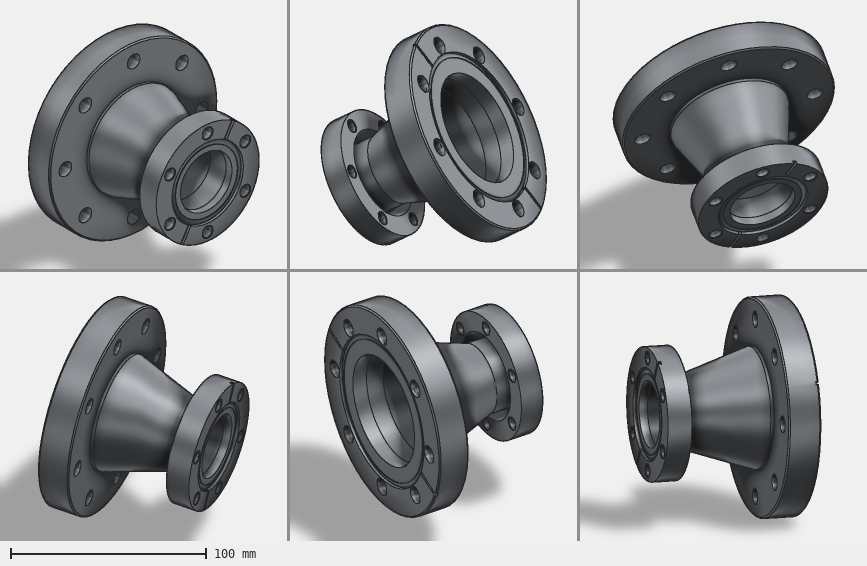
import cadquery as cq
import math

total_length = 75.2

large_radius = 56.8
large_thickness = 17.4
large_rim_chamfer = 0.8
large_bolt_count = 8
large_bolt_circle_radius = 46.1
large_hole_radius = 4.2
large_hole_mouth_radius = 4.7
large_hole_taper_depth = 2.7
large_recess_radius = 41.3
large_knife_radius = 38.6
tube_seat_x = 9.3

small_radius = 34.7
small_thickness = 12.8
small_bolt_count = 6
small_bolt_circle_radius = 29.3
small_hole_radius = 3.3
small_hole_chamfer = 0.3
small_cone_radius = 24.0
small_cone_depth = 5.2
tube_clearance = 0.7
small_recess_radius = 24.1
small_knife_radius = 21.0
insert_thickness = 4.5

knife_tip_depth = 0.7
knife_slope = 20.0
knife_inner_step = 0.5

large_groove_width = 1.5
large_groove_depth = 1.5
small_groove_width = 1.7
small_groove_depth = 1.8
large_groove_angle = 22.5
small_groove_angle = 60.0

large_tube_radius = 31.7
large_bore_radius = 30.2
small_tube_radius = 19.1
small_bore_radius = 17.4
outer_cone_start_x = 19.1
inner_cone_start_x = 19.1
cone_end_x = 57.2

small_back_x = total_length - small_thickness
insert_seat_x = total_length - knife_tip_depth - knife_inner_step - insert_thickness


def knife_root_depth(recess_radius, knife_radius):
    """Depth of the recess floor, where the sloped flank of the knife edge starts."""
    return knife_tip_depth + (recess_radius - knife_radius) * math.tan(math.radians(knife_slope))


def turned(profile):
    """Solid of revolution about the X axis from (x, radius) points."""
    return cq.Workplane("XY").polyline(profile).close().revolve(360, (0, 0, 0), (1, 0, 0))


def bolt_holes(profile, count, circle_radius):
    """Turned hole cutters spaced evenly round the X axis, the first one at +Z."""
    cutter = turned(profile).translate((0, 0, circle_radius))
    cutters = cq.Workplane("XY")
    for i in range(count):
        cutters = cutters.add(cutter.rotate((0, 0, 0), (1, 0, 0), i * 360 / count))
    return cutters.combine()


def leak_grooves(face_x, inner_radius, outer_radius, width, depth, angle):
    """Two opposite radial slots in the face at face_x, angle measured from +Y towards +Z."""
    length = outer_radius - inner_radius
    middle_radius = inner_radius + length / 2
    slots = (
        cq.Workplane("XY")
        .pushPoints([(face_x, middle_radius), (face_x, -middle_radius)])
        .box(2 * depth, length, width)
    )
    return slots.rotate((0, 0, 0), (1, 0, 0), angle)


def make_large_flange():
    chamfer_radius = large_radius - large_rim_chamfer
    sealing_face_x = knife_tip_depth + knife_inner_step
    body = turned([
        (0, large_recess_radius),
        (0, chamfer_radius),
        (large_rim_chamfer, large_radius),
        (large_thickness - large_rim_chamfer, large_radius),
        (large_thickness, chamfer_radius),
        (large_thickness, large_tube_radius),
        (tube_seat_x, large_tube_radius),
        (tube_seat_x, large_bore_radius),
        (sealing_face_x, large_bore_radius),
        (sealing_face_x, large_knife_radius),
        (knife_tip_depth, large_knife_radius),
        (knife_root_depth(large_recess_radius, large_knife_radius), large_recess_radius),
    ])
    hole_profile = [
        (0, 0),
        (0, large_hole_mouth_radius),
        (large_hole_taper_depth, large_hole_radius),
        (large_thickness, large_hole_radius),
        (large_thickness, 0),
    ]
    holes = bolt_holes(hole_profile, large_bolt_count, large_bolt_circle_radius)
    grooves = leak_grooves(
        0, large_recess_radius, large_radius, large_groove_width, large_groove_depth, large_groove_angle
    )
    return body.cut(holes).cut(grooves)


def make_reducer_tube():
    return turned([
        (tube_seat_x, large_bore_radius),
        (tube_seat_x, large_tube_radius),
        (outer_cone_start_x, large_tube_radius),
        (cone_end_x, small_tube_radius),
        (insert_seat_x, small_tube_radius),
        (insert_seat_x, small_bore_radius),
        (cone_end_x, small_bore_radius),
        (inner_cone_start_x, large_bore_radius),
    ])


def make_rotatable_flange():
    ring_bore_radius = small_tube_radius + tube_clearance
    body = turned([
        (small_back_x, small_cone_radius),
        (small_back_x, small_radius),
        (total_length, small_radius),
        (total_length, small_recess_radius),
        (insert_seat_x, small_recess_radius),
        (insert_seat_x, ring_bore_radius),
        (small_back_x + small_cone_depth, ring_bore_radius),
    ])
    mouth_radius = small_hole_radius + small_hole_chamfer
    hole_profile = [
        (small_back_x, 0),
        (small_back_x, mouth_radius),
        (small_back_x + small_hole_chamfer, small_hole_radius),
        (total_length - small_hole_chamfer, small_hole_radius),
        (total_length, mouth_radius),
        (total_length, 0),
    ]
    holes = bolt_holes(hole_profile, small_bolt_count, small_bolt_circle_radius)
    grooves = leak_grooves(
        total_length,
        small_recess_radius,
        small_radius,
        small_groove_width,
        small_groove_depth,
        small_groove_angle,
    )
    return body.cut(holes).cut(grooves)


def make_knife_insert():
    knife_tip_x = total_length - knife_tip_depth
    sealing_face_x = knife_tip_x - knife_inner_step
    knife_root_x = total_length - knife_root_depth(small_recess_radius, small_knife_radius)
    return turned([
        (insert_seat_x, small_bore_radius),
        (insert_seat_x, small_recess_radius),
        (knife_root_x, small_recess_radius),
        (knife_tip_x, small_knife_radius),
        (sealing_face_x, small_knife_radius),
        (sealing_face_x, small_bore_radius),
    ])


large_flange = make_large_flange()
reducer_tube = make_reducer_tube()
rotatable_flange = make_rotatable_flange()
knife_insert = make_knife_insert()

result = cq.Compound.makeCompound([
    large_flange.val(),
    reducer_tube.val(),
    rotatable_flange.val(),
    knife_insert.val(),
])